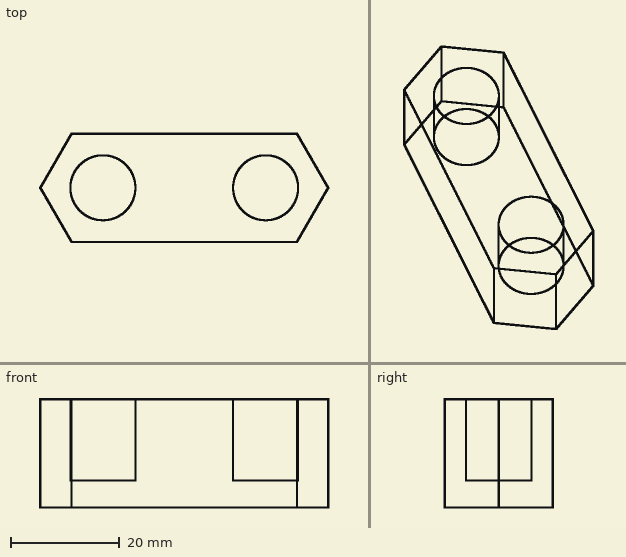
import cadquery as cq
import math

WIDTH = 20.0
HEIGHT = 20.0
HOLE_SPACING = 30.0
HOLE_DIAMETER = 12.0
HOLE_DEPTH = 15.0

HEXAGON_SIDE = WIDTH / math.sqrt(3)
TIP_X = HOLE_SPACING / 2 + HEXAGON_SIDE
SHOULDER_X = HOLE_SPACING / 2 + HEXAGON_SIDE / 2


def make_body():
    """Elongated hexagonal block standing on the XY plane."""
    half_width = WIDTH / 2
    outline = [
        (-TIP_X, 0),
        (-SHOULDER_X, -half_width),
        (SHOULDER_X, -half_width),
        (TIP_X, 0),
        (SHOULDER_X, half_width),
        (-SHOULDER_X, half_width),
    ]
    return cq.Workplane("XY").polyline(outline).close().extrude(HEIGHT)


def cut_holes(body):
    """Two flat-bottomed blind holes in the top face."""
    centres = [(-HOLE_SPACING / 2, 0), (HOLE_SPACING / 2, 0)]
    return (
        body.faces(">Z")
        .workplane(origin=(0, 0, HEIGHT))
        .pushPoints(centres)
        .hole(HOLE_DIAMETER, HOLE_DEPTH)
    )


result = cut_holes(make_body())